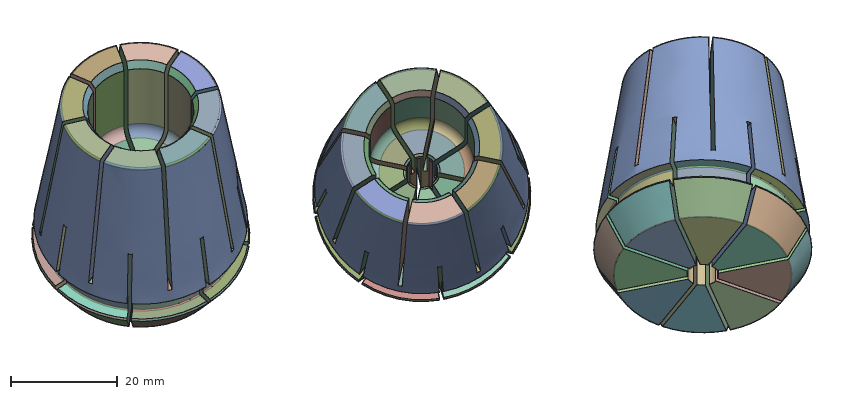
import cadquery as cq
import math


height = 46
lip_radius = 20.445

taper_angle = math.radians(8)
taper_base_z = 11.22
taper_base_radius = 20.05
taper_top_radius = taper_base_radius - (height - taper_base_z) * math.tan(taper_angle)
top_round = 0.35

groove_radius = 18.12
groove_bottom_z = 7.0
groove_round = 0.25

lip_height = 0.45
lip_inset = 0.25
nose_angle = math.radians(30)
nose_height = groove_bottom_z - lip_height
nose_radius = lip_radius - nose_height * math.tan(nose_angle)
nose_round = 0.15

bore_radius = 9.95
bore_floor_z = 26.0
bore_floor_round = 1.95
mouth_chamfer_width = 0.9
mouth_chamfer_depth = 1.5
hole_radius = 3.0
hole_chamfer = 0.45

slit_count = 8
slit_spacing = 360 / slit_count
slit_width = 0.8
lower_slit_top_z = 23.9
upper_slit_floor_z = 14.05

margin = 0.005
blade_overhang = 0.45


def turned(points):
    """Revolve a closed (radius, z) outline around the Z axis."""
    return cq.Workplane("XZ").polyline(points).close().revolve(360, (0, 0), (0, 1))


def box_around_ring(radius, z):
    """Select everything inside a thin square box around the axis at height z."""
    return cq.selectors.BoxSelector(
        (-radius, -radius, z - margin),
        (radius, radius, z + margin),
        boundingbox=True,
    )


def ring_edge(radius, z):
    """Select the edge circling the Z axis at the given radius and height."""
    return box_around_ring(radius + margin, z) - box_around_ring(radius - margin, z)


def outer_body():
    body = turned([
        (0, 0),
        (nose_radius, 0),
        (lip_radius, nose_height),
        (lip_radius - lip_inset, groove_bottom_z),
        (groove_radius, groove_bottom_z),
        (groove_radius, taper_base_z),
        (taper_base_radius, taper_base_z),
        (taper_top_radius, height),
        (0, height),
    ])
    body = body.edges(ring_edge(taper_top_radius, height)).fillet(top_round)
    body = body.edges(ring_edge(nose_radius, 0)).fillet(nose_round)
    for z in (groove_bottom_z, taper_base_z):
        body = body.edges(ring_edge(groove_radius, z)).fillet(groove_round)
    return body


def tool_bore():
    bore = turned([
        (0, bore_floor_z),
        (bore_radius, bore_floor_z),
        (bore_radius, height - mouth_chamfer_depth),
        (bore_radius + mouth_chamfer_width, height),
        (0, height),
    ])
    return bore.edges(ring_edge(bore_radius, bore_floor_z)).fillet(bore_floor_round)


def through_hole():
    return turned([
        (0, 0),
        (hole_radius, 0),
        (hole_radius, bore_floor_z - hole_chamfer),
        (hole_radius + hole_chamfer, bore_floor_z),
        (0, bore_floor_z),
    ])


def cut_slits(body, bottom_z, top_z, first_angle):
    """Cut radial slits that run from the axis out through the rim."""
    blade = (
        cq.Workplane("XY", origin=(0, 0, bottom_z))
        .box(
            lip_radius + blade_overhang,
            slit_width,
            top_z - bottom_z,
            centered=(False, True, False),
        )
    )
    for index in range(slit_count):
        angle = first_angle + index * slit_spacing
        body = body.cut(blade.rotate((0, 0, 0), (0, 0, 1), angle))
    return body


collet = outer_body().cut(tool_bore()).cut(through_hole())
collet = cut_slits(collet, 0, lower_slit_top_z, 0)
result = cut_slits(collet, upper_slit_floor_z, height, slit_spacing / 2)